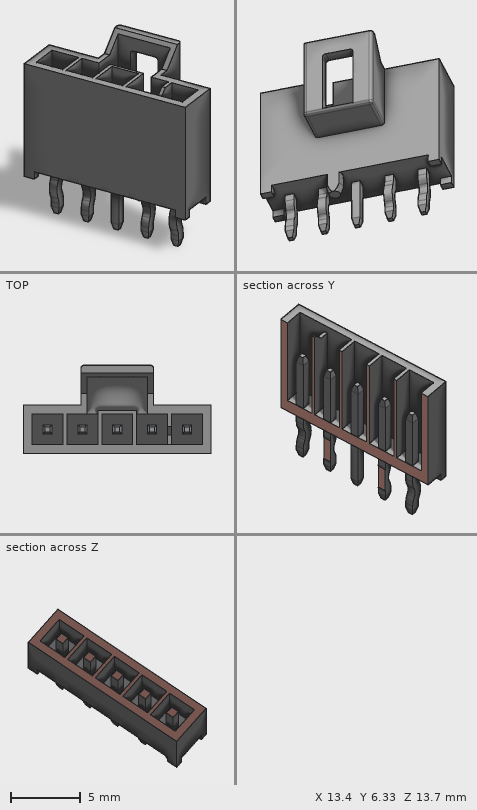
import cadquery as cq


body_length = 13.44
body_depth = 3.48
body_height = 9.06
body_back = body_depth / 2
foot_height = 0.59
foot_length = 0.84
foot_depth = 0.59

pin_count = 5
pitch = 2.5
cavity_size = 2.21
cavity_floor = 1.65
divider = pitch - cavity_size
centre_wall_back = 0.23

hood_width = 5.22
hood_reach = 2.85
hood_rise = 1.45
hood_depth_below_top = 5.0
hood_shelf = 0.84
hood_fillet = 0.26
hood_back = body_back + hood_reach
hood_top = body_height + hood_rise
hood_bottom = body_height - hood_depth_below_top
pocket_width = 4.35
hood_back_wall = 0.84
pocket_floor = hood_bottom + divider
window_width = 2.3
window_rise = 0.12
window_top = body_height + window_rise
window_fillet = 0.26

notch_drop = 0.6
notch_front = -cavity_size / 2
notch_slope_foot = -0.4

pin_size = 0.65
pin_tip_size = 0.35
pin_tip_length = 0.55
pin_bottom = -3.2
pin_top = 6.3
kink_start = 0.05
kink_length = 2.3
kink_offset = 0.27

peg_radius = 0.6
peg_tip_radius = 0.41
peg_tip_length = 0.63
peg_bottom = -1.03
peg_x = pitch / 2
peg_y = body_back - peg_tip_radius


def box(x_range, y_range, z_range):
    """Axis-aligned block given by its limits along X, Y and Z."""
    lows, highs = zip(x_range, y_range, z_range)
    sizes = [high - low for low, high in zip(lows, highs)]
    return cq.Workplane("XY").box(*sizes, centered=False).translate(lows)


def centred(size):
    """Limits of a span centred on zero."""
    return (-size / 2, size / 2)


def side_extrusion(profile, width):
    """Extrude a closed YZ profile symmetrically about X = 0."""
    return profile.close().extrude(width / 2, both=True)


def pin_x(index):
    return (index - (pin_count - 1) / 2) * pitch


def make_body():
    block = box(centred(body_length), centred(body_depth), (0, body_height))
    along = box(centred(body_length - 2 * foot_length), centred(body_depth), (0, foot_height))
    across = box(centred(body_length), centred(body_depth - 2 * foot_depth), (0, foot_height))
    return block.cut(along).cut(across)


def make_hood():
    profile = cq.Workplane("YZ").polyline([
        (0, hood_bottom),
        (hood_back, hood_bottom),
        (hood_back, hood_top),
        (body_back + hood_shelf + hood_rise, hood_top),
        (body_back + hood_shelf, body_height),
        (0, body_height),
    ])
    hood = side_extrusion(profile, hood_width)
    upright_edges = hood.faces(">Y").edges("|Z")
    bottom_edges = hood.faces("<Z").edges("|Y or >Y")
    return upright_edges.add(bottom_edges).fillet(hood_fillet)


def make_pocket():
    """Space inside the hood, going around the back wall of the centre cavity."""
    pocket = box(centred(pocket_width), (0, hood_back - hood_back_wall), (pocket_floor, hood_top))
    centre_shell = box(
        centred(cavity_size + 2 * divider),
        (0, cavity_size / 2 + centre_wall_back),
        (pocket_floor, body_height),
    )
    return pocket.cut(centre_shell)


def make_window():
    """Latch opening through the back wall of the hood."""
    window = box(centred(window_width), (hood_back - hood_back_wall, hood_back), (pocket_floor, window_top))
    return window.faces(">Z").edges("|Y").fillet(window_fillet)


def make_cavity(index):
    cavity = box(centred(cavity_size), centred(cavity_size), (cavity_floor, body_height))
    return cavity.translate((pin_x(index), 0, 0))


def make_notch():
    """Step with a 45 degree flank in the divider before the last cavity."""
    notch_bottom = body_height - notch_drop
    profile = cq.Workplane("YZ").polyline([
        (notch_front, notch_bottom),
        (notch_slope_foot, notch_bottom),
        (notch_slope_foot + notch_drop, body_height),
        (notch_front, body_height),
    ])
    divider_x = pin_x(pin_count - 1) - pitch / 2
    return side_extrusion(profile, divider).translate((divider_x, 0, 0))


def make_pin_tip(z_root, direction):
    """Tapered square end; direction is +1 for upwards, -1 for downwards."""
    return (
        cq.Workplane("XY", origin=(0, 0, z_root))
        .rect(pin_size, pin_size)
        .workplane(offset=direction * pin_tip_length)
        .rect(pin_tip_size, pin_tip_size)
        .loft()
    )


def make_shank(bend):
    """Pin shank with a press-fit kink towards bend (+1 = +Y, -1 = -Y, 0 = straight)."""
    low = pin_bottom + pin_tip_length
    high = pin_top - pin_tip_length
    if bend == 0:
        return box(centred(pin_size), centred(pin_size), (low, high))

    half = pin_size / 2
    half_kink = kink_length / 2
    middle = kink_start - half_kink
    radius_sum = (half_kink**2 + kink_offset**2) / (2 * kink_offset)

    def inflection(side):
        """Y and height from mid-kink of the points where a side changes its curvature."""
        crest_share = (radius_sum + side * bend * pin_size) / (2 * radius_sum)
        return side * half + bend * kink_offset * (1 - crest_share), half_kink * crest_share

    back_y, back_z = inflection(1)
    front_y, front_z = inflection(-1)
    profile = (
        cq.Workplane("YZ")
        .moveTo(half, high)
        .lineTo(half, kink_start)
        .tangentArcPoint((back_y, middle + back_z), relative=False)
        .tangentArcPoint((back_y, middle - back_z), relative=False)
        .tangentArcPoint((half, middle - half_kink), relative=False)
        .lineTo(half, low)
        .lineTo(-half, low)
        .lineTo(-half, middle - half_kink)
        .tangentArcPoint((front_y, middle - front_z), relative=False)
        .tangentArcPoint((front_y, middle + front_z), relative=False)
        .tangentArcPoint((-half, kink_start), relative=False)
        .lineTo(-half, high)
    )
    return side_extrusion(profile, pin_size)


def make_pin(index):
    """The end pins bend to -Y, their neighbours to +Y; the centre pin is straight."""
    bends = (-1, 1, 0, 1, -1)
    pin = (
        make_shank(bends[index])
        .union(make_pin_tip(pin_top - pin_tip_length, 1))
        .union(make_pin_tip(pin_bottom + pin_tip_length, -1))
    )
    return pin.translate((pin_x(index), 0, 0))


def make_peg():
    """Round peg with a conical end, cut flush with the back of the housing."""
    cone_top = peg_bottom + peg_tip_length
    peg = (
        cq.Workplane("XZ")
        .polyline([
            (0, peg_bottom),
            (peg_tip_radius, peg_bottom),
            (peg_radius, cone_top),
            (peg_radius, foot_height),
            (0, foot_height),
        ])
        .close()
        .revolve(360, (0, 0, 0), (0, 1, 0))
        .translate((peg_x, peg_y, 0))
    )
    return peg.intersect(box(centred(body_length), centred(body_depth), (peg_bottom, foot_height)))


result = make_body().union(make_hood()).cut(make_pocket()).cut(make_window())
for pin_index in range(pin_count):
    result = result.cut(make_cavity(pin_index))
result = result.cut(make_notch())
for pin_index in range(pin_count):
    result = result.union(make_pin(pin_index))
result = result.union(make_peg())